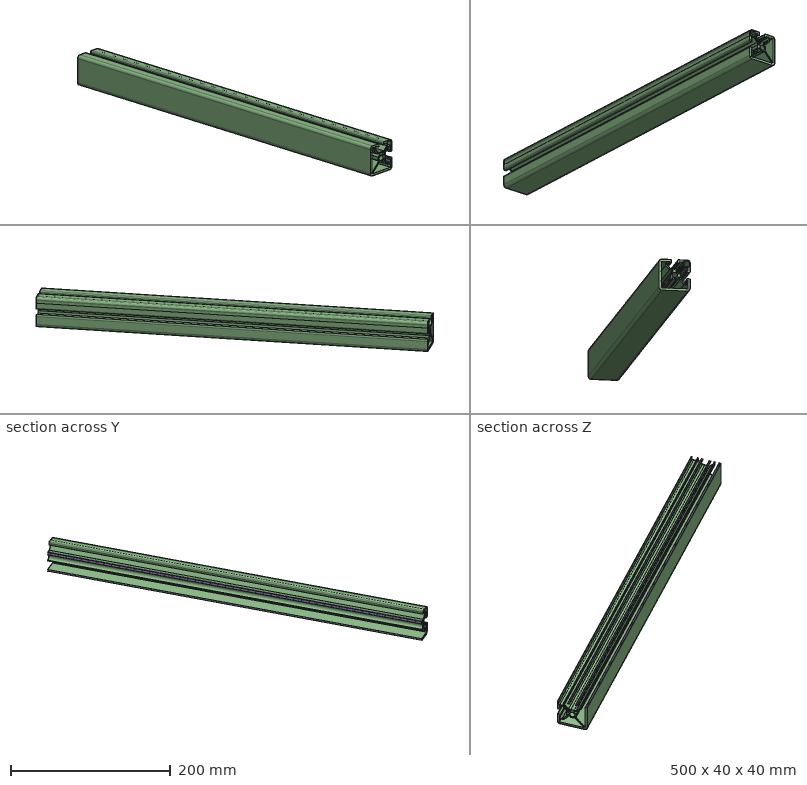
import cadquery as cq
import math

length = 500.0
side = 40.0
corner_radius = 4.0

slot_half_width = 4.0
cavity_half_width = 10.5
hook_half_width = 6.5
floor_half_width = 5.0
dip_half_width = 2.0
floor_height = 8.0
floor_dip = 0.25
lip_thickness = 3.0
hook_thickness = 4.0
lip_radius = 1.5

outer_wall = 3.0
corner_wall = 1.25
slot_wall = 1.25
slot_floor_thickness = 1.5
slot_web = 2.0
corner_web = 1.75
channel_width = 1.75
chamber_radius = 1.5
core_hole_diameter = 7.0
core_across_flats = 10.5

half_side = side / 2
lip_underside = half_side - lip_thickness
hook_underside = half_side - hook_thickness
cavity_knee_height = floor_height + cavity_half_width - floor_half_width
slot_wall_face = cavity_half_width + slot_wall
slot_floor_underside = floor_height - slot_floor_thickness
chamber_limit = half_side - outer_wall
corner_hollow_limit = half_side - corner_wall

corner_web_shift = corner_web / 2 * math.sqrt(2)
channel_shift = channel_width / 2 * math.sqrt(2)
web_face_shift = floor_height - floor_half_width - slot_web * math.sqrt(2)


def mirrored(points):
    """Mirror section points about the line Y = Z."""
    return [(z, y) for y, z in points]


def prism(points):
    """Extrude a closed section outline along X over the full length."""
    return cq.Workplane("YZ").polyline(points).close().extrude(length / 2, both=True)


def round_edge(solid, y, z, radius):
    """Fillet the lengthwise edge of the solid at the section point (y, z)."""
    edge = cq.selectors.NearestToPointSelector((0, y, z))
    return solid.edges("|X").edges(edge).fillet(radius)


def make_bar():
    """Solid bar with rounded long edges."""
    bar = cq.Workplane("YZ").rect(side, side).extrude(length / 2, both=True)
    return bar.edges("|X").fillet(corner_radius)


def make_core():
    """Octagonal core, with a rib of the same flat width up to each slot floor."""
    flat_half_width = core_across_flats / 2 * math.tan(math.pi / 8)
    octagon_diameter = core_across_flats / math.cos(math.pi / 8)
    octagon = cq.Workplane("YZ").polygon(8, octagon_diameter).extrude(length / 2, both=True)
    core = octagon.rotate((0, 0, 0), (1, 0, 0), 22.5)
    rib = [
        (-flat_half_width, 0),
        (flat_half_width, 0),
        (flat_half_width, floor_height),
        (-flat_half_width, floor_height),
    ]
    return core.union(prism(rib)).union(prism(mirrored(rib)))


def slot_outline():
    """T-slot open on +Z, with a floor that dips slightly towards its middle."""
    right_side = [
        (dip_half_width, floor_height - floor_dip),
        (floor_half_width, floor_height),
        (cavity_half_width, cavity_knee_height),
        (cavity_half_width, lip_underside),
        (hook_half_width, lip_underside),
        (hook_half_width, hook_underside),
        (slot_half_width, hook_underside),
        (slot_half_width, half_side),
    ]
    left_side = [(-y, z) for y, z in reversed(right_side)]
    return right_side + left_side


def make_lower_chamber():
    """Closed chamber between the -Z wall, the +Y slot and the diagonal web, core included."""
    chamber = prism([
        (corner_web_shift, 0),
        (slot_floor_underside, 0),
        (slot_floor_underside, web_face_shift - slot_floor_underside),
        (slot_wall_face, web_face_shift - slot_wall_face),
        (slot_wall_face, -slot_wall_face),
        (chamber_limit, -slot_wall_face),
        (chamber_limit, -chamber_limit),
        (corner_web_shift - chamber_limit, -chamber_limit),
        (0, -corner_web_shift),
    ])
    return round_edge(chamber, chamber_limit, -slot_wall_face, chamber_radius)


def make_corner_hollow():
    """Square hollow in the +Y +Z corner with a channel down the diagonal to the core."""
    half_outline = [
        (0, 0),
        (slot_floor_underside, 0),
        (slot_floor_underside, slot_floor_underside - channel_shift),
        (slot_wall_face + channel_shift, slot_wall_face),
        (corner_hollow_limit, slot_wall_face),
        (corner_hollow_limit, corner_hollow_limit),
    ]
    hollow = prism(half_outline).union(prism(mirrored(half_outline)))
    inner_radius = corner_radius - corner_wall
    return round_edge(hollow, corner_hollow_limit, corner_hollow_limit, inner_radius)


core = make_core()
lower_chamber = make_lower_chamber().cut(core)
side_chamber = lower_chamber.mirror("XZ").rotate((0, 0, 0), (1, 0, 0), -90)
corner_hollow = make_corner_hollow().cut(core)
core_hole = cq.Workplane("YZ").circle(core_hole_diameter / 2).extrude(length / 2, both=True)

result = make_bar()
for cavity in (lower_chamber, side_chamber, corner_hollow, core_hole):
    result = result.cut(cavity)
for outline in (slot_outline(), mirrored(slot_outline())):
    result = result.cut(prism(outline))

for lip_edge in (-slot_half_width, slot_half_width):
    result = round_edge(result, lip_edge, half_side, lip_radius)
    result = round_edge(result, half_side, lip_edge, lip_radius)